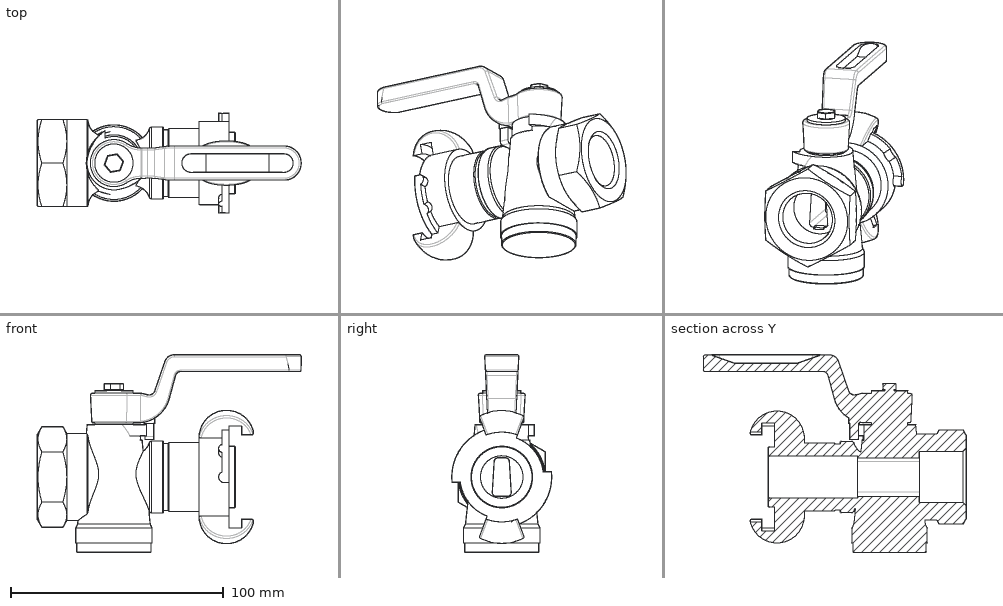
import cadquery as cq
import math


INLET_X = -36.0
HEX_END_X = -22.1
HEX_FLATS = 41.0
HEX_FACE_R = 19.9
HEX_RIM_CLEARANCE = 1.0
HEX_CHAMFER_TAN = math.tan(math.radians(30))
COLLAR_END_X = -12.1
COLLAR_CHAMFER = 0.5
INLET_BORE_R = 24.12 / 2
INLET_MOUTH_R = 13.7
INLET_BORE_END_X = -14.0

NECK_FILLET_R = 8.0
INLET_NECK_R = 12.5
OUTLET_NECK_R = 10.6

BODY_TOP_Z = 24.6
BODY_TOP_R = 12.6
BODY_FOOT_Z = -22.1
BODY_FOOT_R = 17.1
CAP_TOP_Z = -24.0
CAP_R = 18.0
CAP_STEP_Z = -31.0
CAP_LOWER_R = 17.5
BOTTOM_Z = -35.5
CAP_CHAMFER = 0.4
STEM_R = 9.0

STOP_TIP_RADIAL = 15.3
STOP_OFFSET = 4.1
STOP_UNDERSIDE_Z = 19.3
STOP_ARC_START = (-12.1, 3.4)
STOP_ARC_MID = (-9.3, 10.1)
STOP_SECTOR_R = 12.5
STOP_SECTOR_FLOOR_Z = 17.3
STOP_LUG_INNER_X = 14.5
STOP_LUG_OUTER_X = 18.8
STOP_LUG_BOTTOM_Z = 17.5
STOP_LUG_TOP_Z = 29.0
STOP_LUG_EDGE_R = 1.5
STOP_LUG_ROOT_Z = 25.2
STOP_LUG_ROOT_STEP = 0.4

SLOT_HALF_HEIGHT = 9.0
SLOT_TOP_WIDTH = 6.8
SLOT_BOTTOM_WIDTH = 9.0
SLOT_CORNER_R = 1.8
SEAT_R = 10.1
SEAT_WIDTH = 4.8
SEAT_END_X = -10.0
OUTLET_BORE_R = 10.0
OUTLET_BORE_START_X = 15.0

RING_START_X = 17.0
RING_END_X = 23.2
RING_R = 17.0
RING_CHAMFER = 0.6
GROOVE_R = 31.5 / 2
SLEEVE_START_X = 25.4
SLEEVE_R = 32.5 / 2
COUPLING_X = 39.9
COUPLING_R = 19.6
COUPLING_FACE_X = 54.1
SPIGOT_R = 29.0 / 2
SPIGOT_END_X = 57.0
SPIGOT_CHAMFER = 0.3

CLAW_R = 13.0
CLAW_CENTER_X = COUPLING_X + CLAW_R
CLAW_CENTER_R = 18.4
CLAW_CROSS_R = 20.8
CLAW_HALF_ANGLE = 20.5
CLAW_EDGE_FILLET = 0.9
CLAW_SLOT_END_X = 60.0
CLAW_SLOT_R = 25.5
CLAW_LIP_R = 21.1
TAB_R = 23.5
TAB_BACK_X = 50.8
TAB_KNOB_R = 2.5
TAB_KNOB_X = 51.7
TAB_KNOB_ANGLES = (0, 35)

HANDLE_BOTTOM_Z = 25.4
HUB_TOP_Z = 39.4
HANDLE_TOP_Z = 57.5
HANDLE_THICKNESS = 8.0
HANDLE_END_X = 88.0
HANDLE_END_R = 8.1
HANDLE_DRAFT = 2.85
HUB_BOTTOM_R = 10.4
ARM_BOTTOM_HALF_WIDTH = 6.5
HUB_BLEND_R = 11.7
HANDLE_TOP_EDGE_R = 1.0
HANDLE_UNDER_EDGE_R = 0.7
HEEL_X = 23.0
HEEL_R = 15.5
UNDER_BEND_X = 29.5
UNDER_BEND_R = 2.5
UPPER_BEND_X = 25.0
UPPER_BEND_R = 4.9
DIP_START_X = 13.0
DIP_X = 18.3
DIP_Z = 38.0
DIP_START_R = 2.0
DIP_R = 2.8
GRIP_START_X = 31.9
GRIP_END_X = 84.2
GRIP_WIDTH = 8.8
GRIP_DEPTH = 4.0
GRIP_DRAFT = 3.0
GRIP_FLOOR_START_X = 43.3
GRIP_FLOOR_END_X = 72.9

WASHER_R = 9.0
WASHER_TOP_Z = 40.6
SCREW_FLATS = 8.0
SCREW_TOP_Z = 44.0
SCREW_TURN = 10.0
SCREW_CHAMFER = 0.3
SCREW_COLLAR_R = 6.88 / 2
SCREW_HEAD_Z = 41.0


def hexagon_diameter(flats):
    return flats / math.cos(math.radians(30))


def turned_about_x(outline):
    """Close an (x, radius) outline and revolve it about the X axis."""
    return outline.close().revolve(360, (0, 0, 0), (1, 0, 0))


def cylinder_x(radius, start_x, end_x):
    return cq.Workplane("YZ").workplane(offset=start_x).circle(radius).extrude(end_x - start_x)


def cylinder_z(radius, bottom_z, top_z):
    return cq.Workplane("XY").workplane(offset=bottom_z).circle(radius).extrude(top_z - bottom_z)


def make_inlet():
    length = HEX_END_X - INLET_X
    corner_r = hexagon_diameter(HEX_FLATS) / 2
    collar_r = HEX_FLATS / 2
    hexagon = (
        cq.Workplane("YZ").workplane(offset=INLET_X)
        .transformed(rotate=(0, 0, 90))
        .polygon(6, 2 * corner_r).extrude(length)
    )
    rim_r = corner_r + HEX_RIM_CLEARANCE
    chamfer_cone = turned_about_x(
        cq.Workplane("XY").moveTo(INLET_X, 0).lineTo(INLET_X, HEX_FACE_R)
        .lineTo(INLET_X + (rim_r - HEX_FACE_R) * HEX_CHAMFER_TAN, rim_r)
        .lineTo(HEX_END_X - (rim_r - collar_r) * HEX_CHAMFER_TAN, rim_r)
        .lineTo(HEX_END_X, collar_r).lineTo(HEX_END_X, 0)
    )
    neck_x = COLLAR_END_X + NECK_FILLET_R
    arc_offset = NECK_FILLET_R * math.sqrt(0.5)
    neck_center_r = INLET_NECK_R + NECK_FILLET_R
    collar = turned_about_x(
        cq.Workplane("XY").moveTo(HEX_END_X, 0).lineTo(HEX_END_X, collar_r)
        .lineTo(COLLAR_END_X - COLLAR_CHAMFER, collar_r)
        .lineTo(COLLAR_END_X, collar_r - COLLAR_CHAMFER)
        .threePointArc((neck_x - arc_offset, neck_center_r - arc_offset), (neck_x, INLET_NECK_R))
        .lineTo(0, INLET_NECK_R).lineTo(0, 0)
    )
    return hexagon.intersect(chamfer_cone).union(collar)


def make_outlet():
    neck_x = RING_START_X - NECK_FILLET_R
    arc_offset = NECK_FILLET_R * math.sqrt(0.5)
    neck_center_r = OUTLET_NECK_R + NECK_FILLET_R
    ring_foot_r = RING_R - RING_CHAMFER
    foot_drop = neck_center_r - ring_foot_r
    foot_x = neck_x + math.sqrt(NECK_FILLET_R ** 2 - foot_drop ** 2)
    sleeve_chamfer = SLEEVE_R - GROOVE_R
    return turned_about_x(
        cq.Workplane("XY").lineTo(0, OUTLET_NECK_R).lineTo(neck_x, OUTLET_NECK_R)
        .threePointArc((neck_x + arc_offset, neck_center_r - arc_offset), (foot_x, ring_foot_r))
        .lineTo(RING_START_X + RING_CHAMFER, RING_R)
        .lineTo(RING_END_X - RING_CHAMFER / 2, RING_R)
        .lineTo(RING_END_X, RING_R - RING_CHAMFER / 2)
        .lineTo(RING_END_X, GROOVE_R)
        .lineTo(SLEEVE_START_X, GROOVE_R)
        .lineTo(SLEEVE_START_X + sleeve_chamfer, SLEEVE_R)
        .lineTo(COUPLING_X, SLEEVE_R)
        .lineTo(COUPLING_X, COUPLING_R)
        .lineTo(COUPLING_FACE_X, COUPLING_R)
        .lineTo(COUPLING_FACE_X, SPIGOT_R)
        .lineTo(SPIGOT_END_X - SPIGOT_CHAMFER, SPIGOT_R)
        .lineTo(SPIGOT_END_X, SPIGOT_R - SPIGOT_CHAMFER)
        .lineTo(SPIGOT_END_X, 0)
    )


def make_stop_sector():
    """Clearance around the body for the sweep of the stop lug."""
    size = 2 * BODY_FOOT_R
    height = BODY_TOP_Z - STOP_SECTOR_FLOOR_Z
    block = cq.Workplane("XY").box(size, size, height, centered=False).translate(
        (-STOP_OFFSET, -STOP_OFFSET, STOP_SECTOR_FLOOR_Z)
    )
    return block.cut(cylinder_z(STOP_SECTOR_R, STOP_SECTOR_FLOOR_Z, BODY_TOP_Z))


def make_plug_body():
    profile = (
        cq.Workplane("XZ").moveTo(0, BOTTOM_Z)
        .lineTo(CAP_LOWER_R - CAP_CHAMFER, BOTTOM_Z)
        .lineTo(CAP_LOWER_R, BOTTOM_Z + CAP_CHAMFER)
        .lineTo(CAP_LOWER_R, CAP_STEP_Z)
        .lineTo(CAP_R, CAP_STEP_Z)
        .lineTo(CAP_R, CAP_TOP_Z)
        .lineTo(BODY_FOOT_R, BODY_FOOT_Z)
        .lineTo(BODY_TOP_R, BODY_TOP_Z)
        .lineTo(0, BODY_TOP_Z)
        .close()
    )
    body = profile.revolve(360, (0, 0, 0), (0, 1, 0)).cut(make_stop_sector())
    return body.union(cylinder_z(STEM_R, BODY_TOP_Z, HANDLE_BOTTOM_Z))


def make_stop_horn():
    """Horn rising tangentially from the body towards +Y, ending in a flat stop face."""
    return (
        cq.Workplane("XY").workplane(offset=STOP_UNDERSIDE_Z)
        .lineTo(*STOP_ARC_START)
        .threePointArc(STOP_ARC_MID, (-STOP_OFFSET, STOP_TIP_RADIAL))
        .lineTo(-STOP_OFFSET, 0)
        .close()
        .extrude(BODY_TOP_Z - STOP_UNDERSIDE_Z)
    )


def make_stops():
    """Two horns, mirrored about the plane x = y, a quarter turn of the handle apart."""
    horn = make_stop_horn()
    opposite_horn = horn.mirror("YZ").rotate((0, 0, 0), (0, 0, 1), -90)
    return horn.union(opposite_horn)


def make_claws():
    """Two opposite claws: crowned domes with radial sides, hollowed by a round slot and lip."""
    end_x = COUPLING_X + 2 * CLAW_R
    crown_axis_z = CLAW_CENTER_R + CLAW_R - CLAW_CROSS_R
    shoulder_r = CLAW_CENTER_R - crown_axis_z
    dome = turned_about_x(
        cq.Workplane("XY").moveTo(COUPLING_X, 0)
        .lineTo(COUPLING_X, shoulder_r)
        .threePointArc((CLAW_CENTER_X, CLAW_CROSS_R), (end_x, shoulder_r))
        .lineTo(end_x, 0)
    ).translate((0, 0, crown_axis_z))
    reach = CLAW_CENTER_R + 2 * CLAW_R
    half_width = reach * math.tan(math.radians(CLAW_HALF_ANGLE))
    wedge = (
        cq.Workplane("YZ").workplane(offset=COUPLING_X)
        .polyline([(0, 0), (half_width, reach), (-half_width, reach)]).close()
        .extrude(2 * CLAW_R)
    )
    dome_sides = cq.selectors.BoxSelector(
        (COUPLING_X + CLAW_EDGE_FILLET, -reach, CLAW_CENTER_R + CLAW_R / 3),
        (end_x - CLAW_EDGE_FILLET, reach, reach),
    )
    claw = dome.intersect(wedge).edges(dome_sides).fillet(CLAW_EDGE_FILLET)
    claw = claw.cut(cylinder_x(CLAW_SLOT_R, COUPLING_FACE_X, CLAW_SLOT_END_X))
    claw = claw.cut(cylinder_x(CLAW_LIP_R, CLAW_SLOT_END_X, end_x))
    return claw.union(claw.rotate((0, 0, 0), (1, 0, 0), 180))


def make_tab():
    """Locking tab on the -Y side: a ring sector with radial knobs on its back."""
    ring = cylinder_x(TAB_R, TAB_BACK_X, COUPLING_FACE_X)
    sector = (
        cq.Workplane("YZ").workplane(offset=TAB_BACK_X)
        .polyline([(0, 2 * TAB_R), (0, -TAB_KNOB_R), (-2 * TAB_R, -TAB_KNOB_R), (-2 * TAB_R, 2 * TAB_R)])
        .close().extrude(COUPLING_FACE_X - TAB_BACK_X)
    )
    tab = ring.intersect(sector)
    envelope = cylinder_x(TAB_R, COUPLING_X, COUPLING_FACE_X)
    for angle in TAB_KNOB_ANGLES:
        knob = (
            cq.Workplane("XZ").center(TAB_KNOB_X, 0).circle(TAB_KNOB_R).extrude(2 * TAB_R)
            .rotate((0, 0, 0), (1, 0, 0), -angle)
        )
        tab = tab.union(knob.intersect(envelope))
    return tab


def make_tabs():
    tab = make_tab()
    return tab.union(tab.rotate((0, 0, 0), (1, 0, 0), 180))


def make_handle_plan():
    """Drafted plan shape: round hub blended into a straight arm, widening upwards."""
    center_y = ARM_BOTTOM_HALF_WIDTH + HUB_BLEND_R
    center_x = math.sqrt((HUB_BOTTOM_R + HUB_BLEND_R) ** 2 - center_y ** 2)
    hub_share = HUB_BOTTOM_R / (HUB_BOTTOM_R + HUB_BLEND_R)
    start = (center_x * hub_share, center_y * hub_share)
    mid_angle = (math.atan2(-center_y, -center_x) - math.pi / 2) / 2
    middle = (
        center_x + HUB_BLEND_R * math.cos(mid_angle),
        center_y + HUB_BLEND_R * math.sin(mid_angle),
    )
    arm_end_x = HANDLE_END_X + HANDLE_END_R
    return (
        cq.Workplane("XY").workplane(offset=HANDLE_BOTTOM_Z)
        .moveTo(*start)
        .threePointArc(middle, (center_x, ARM_BOTTOM_HALF_WIDTH))
        .lineTo(arm_end_x, ARM_BOTTOM_HALF_WIDTH)
        .lineTo(arm_end_x, -ARM_BOTTOM_HALF_WIDTH)
        .lineTo(center_x, -ARM_BOTTOM_HALF_WIDTH)
        .threePointArc((middle[0], -middle[1]), (start[0], -start[1]))
        .threePointArc((-HUB_BOTTOM_R, 0), start)
        .close()
        .extrude(HANDLE_TOP_Z - HANDLE_BOTTOM_Z, taper=-HANDLE_DRAFT)
    )


def make_handle_profile():
    """Cranked side shape of the handle, wider than the plan, with rounded bends."""
    width = 4 * HUB_BOTTOM_R
    underside_z = HANDLE_TOP_Z - HANDLE_THICKNESS
    dip = (DIP_X, DIP_Z)
    upper_bend = (UPPER_BEND_X, HANDLE_TOP_Z)
    under_bend = (UNDER_BEND_X, underside_z)
    heel = (HEEL_X, HANDLE_BOTTOM_Z)
    profile = (
        cq.Workplane("XZ").workplane(offset=-width / 2)
        .polyline([
            (-width, HANDLE_BOTTOM_Z),
            heel,
            under_bend,
            (HANDLE_END_X, underside_z),
            (HANDLE_END_X, HANDLE_TOP_Z),
            upper_bend,
            dip,
            (DIP_START_X, HUB_TOP_Z),
            (-width, HUB_TOP_Z),
        ]).close().extrude(width)
    )
    bends = (
        (heel, HEEL_R),
        (under_bend, UNDER_BEND_R),
        (upper_bend, UPPER_BEND_R),
        (dip, DIP_R),
        ((DIP_START_X, HUB_TOP_Z), DIP_START_R),
    )
    for (bend_x, bend_z), radius in bends:
        bend_edge = cq.selectors.NearestToPointSelector((bend_x, 0, bend_z))
        profile = profile.edges("|Y").edges(bend_edge).fillet(radius)
    return profile


def make_grip_pocket():
    """Boat-shaped recess: flat floor with a ramp rising to the top face at each end."""
    length = GRIP_END_X - GRIP_START_X
    slot = (
        cq.Workplane("XY").workplane(offset=HANDLE_TOP_Z)
        .center((GRIP_START_X + GRIP_END_X) / 2, 0)
        .slot2D(length, GRIP_WIDTH).extrude(-GRIP_DEPTH, taper=GRIP_DRAFT)
    )
    floor_z = HANDLE_TOP_Z - GRIP_DEPTH
    boat = (
        cq.Workplane("XZ").workplane(offset=-GRIP_WIDTH)
        .polyline([
            (GRIP_START_X, HANDLE_TOP_Z),
            (GRIP_FLOOR_START_X, floor_z),
            (GRIP_FLOOR_END_X, floor_z),
            (GRIP_END_X, HANDLE_TOP_Z),
        ]).close().extrude(2 * GRIP_WIDTH)
    )
    return slot.intersect(boat)


def make_stop_lug():
    """Lug under the arm that swings between the two stop faces."""
    length = STOP_LUG_OUTER_X - STOP_LUG_INNER_X
    center_x = (STOP_LUG_INNER_X + STOP_LUG_OUTER_X) / 2
    lug = (
        cq.Workplane("XY").workplane(offset=STOP_LUG_BOTTOM_Z).center(center_x, 0)
        .rect(length, 2 * STOP_OFFSET).extrude(STOP_LUG_TOP_Z - STOP_LUG_BOTTOM_Z)
        .faces("<Z").edges("|X").fillet(STOP_LUG_EDGE_R)
    )
    root = (
        cq.Workplane("XY").workplane(offset=STOP_LUG_ROOT_Z).center(center_x, 0)
        .rect(length + 2 * STOP_LUG_ROOT_STEP, 2 * (STOP_OFFSET + STOP_LUG_ROOT_STEP))
        .extrude(STOP_LUG_TOP_Z - STOP_LUG_ROOT_Z)
    )
    return lug.union(root)


def make_handle():
    """Drafted, cranked handle with a rounded end, softened edges, grip recess and stop lug."""
    handle = make_handle_plan().intersect(make_handle_profile())
    end_center_x = HANDLE_END_X - HANDLE_END_R
    square_end = (
        cq.Workplane("XY").workplane(offset=HANDLE_BOTTOM_Z)
        .center(end_center_x + HANDLE_END_R, 0)
        .rect(2 * HANDLE_END_R, 4 * HANDLE_END_R).extrude(HANDLE_TOP_Z - HANDLE_BOTTOM_Z)
    )
    round_end = cylinder_z(HANDLE_END_R, HANDLE_BOTTOM_Z, HANDLE_TOP_Z).translate((end_center_x, 0, 0))
    handle = handle.cut(square_end.cut(round_end))
    handle = handle.faces(">Z").edges("not |Y").fillet(HANDLE_TOP_EDGE_R)
    under_end = cq.selectors.NearestToPointSelector((HANDLE_END_X, 0, HANDLE_TOP_Z - HANDLE_THICKNESS))
    under_edges = handle.edges(under_end).add(handle.faces("<Z").edges("not |Y"))
    handle = handle.newObject(under_edges.vals()).fillet(HANDLE_UNDER_EDGE_R)
    handle = handle.cut(make_grip_pocket())
    return handle.union(make_stop_lug())


def make_screw():
    washer = cylinder_z(WASHER_R, HUB_TOP_Z, WASHER_TOP_Z)
    head = (
        cq.Workplane("XY").workplane(offset=SCREW_HEAD_Z)
        .transformed(rotate=(0, 0, SCREW_TURN))
        .polygon(6, hexagon_diameter(SCREW_FLATS))
        .extrude(SCREW_TOP_Z - SCREW_HEAD_Z)
        .faces(">Z").chamfer(SCREW_CHAMFER)
    )
    collar = cylinder_z(SCREW_COLLAR_R, WASHER_TOP_Z, SCREW_HEAD_Z)
    return washer.union(collar).union(head)


def make_flow_passage():
    """Inlet bore, seat opening, plug slot and outlet bore along the X axis."""
    bore = cylinder_x(INLET_BORE_R, INLET_X, INLET_BORE_END_X)
    mouth_depth = INLET_MOUTH_R - INLET_BORE_R
    mouth = turned_about_x(
        cq.Workplane("XY").moveTo(INLET_X, 0).lineTo(INLET_X, INLET_MOUTH_R)
        .lineTo(INLET_X + mouth_depth, INLET_BORE_R).lineTo(INLET_X + mouth_depth, 0)
    )
    half_height = SLOT_HALF_HEIGHT
    slot = (
        cq.Workplane("YZ").workplane(offset=INLET_BORE_END_X)
        .polyline([
            (-SLOT_BOTTOM_WIDTH / 2, -half_height),
            (SLOT_BOTTOM_WIDTH / 2, -half_height),
            (SLOT_TOP_WIDTH / 2, half_height),
            (-SLOT_TOP_WIDTH / 2, half_height),
        ]).close().extrude(OUTLET_BORE_START_X - INLET_BORE_END_X)
        .edges("|X").fillet(SLOT_CORNER_R)
    )
    seat = cylinder_x(SEAT_R, INLET_BORE_END_X, SEAT_END_X).intersect(
        cq.Workplane("XY").box(2 * abs(INLET_BORE_END_X), SEAT_WIDTH, 2 * SEAT_R)
    )
    outlet_bore = cylinder_x(OUTLET_BORE_R, OUTLET_BORE_START_X, SPIGOT_END_X)
    return bore.union(mouth).union(seat).union(slot).union(outlet_bore)


valve = make_plug_body().union(make_stops()).union(make_inlet()).union(make_outlet())
valve = valve.union(make_claws()).union(make_tabs())
valve = valve.cut(make_flow_passage())
result = valve.union(make_handle()).union(make_screw())